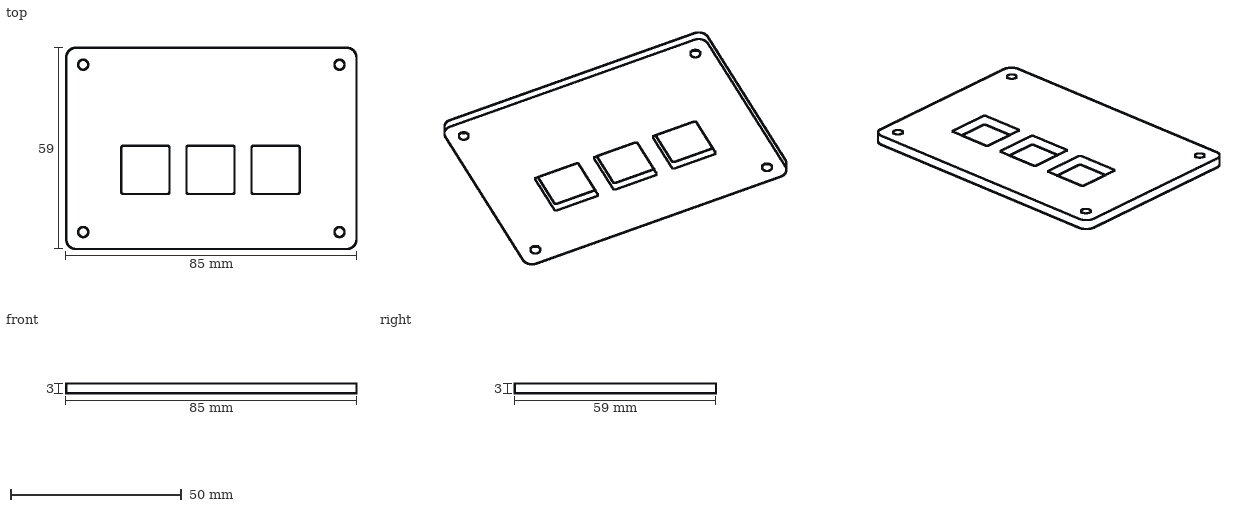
import cadquery as cq

length = 85.0
width = 59.0
thickness = 3.0
corner_radius = 3.0

hole_diameter = 2.9
hole_inset = 5.0

window_count = 3
window_side = 14.0
window_pitch = 19.0
window_corner_radius = 0.5
row_center_x = -0.25
row_center_y = -6.3


def plate():
    blank = cq.Workplane("XY").box(length, width, thickness, centered=(True, True, False))
    return blank.edges("|Z").fillet(corner_radius)


def mounting_holes():
    spacing_x = length - 2 * hole_inset
    spacing_y = width - 2 * hole_inset
    return (
        cq.Workplane("XY")
        .rect(spacing_x, spacing_y, forConstruction=True)
        .vertices()
        .circle(hole_diameter / 2)
        .extrude(thickness)
    )


def windows():
    return (
        cq.Workplane("XY")
        .center(row_center_x, row_center_y)
        .rarray(window_pitch, 0.85, window_count, 1)
        .rect(window_side, window_side)
        .extrude(thickness)
        .edges("|Z")
        .fillet(window_corner_radius)
    )


result = plate().cut(mounting_holes()).cut(windows())